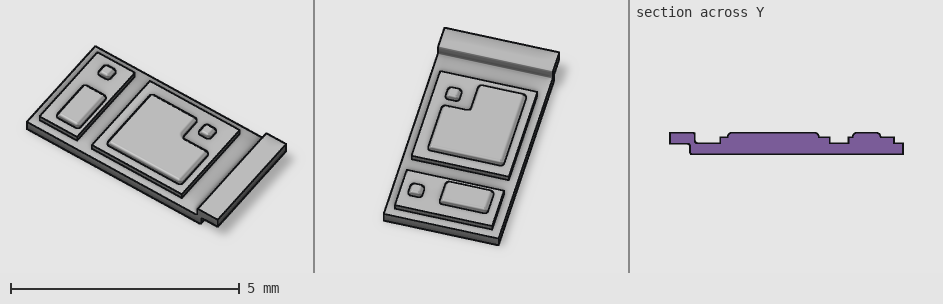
import cadquery as cq

length = 5.1
width = 2.6
sheet_thickness = 0.25
total_height = 0.48
step_rise = total_height - sheet_thickness
step_upper_x = 4.55
step_lower_x = 4.66
bend_radius = 0.05

plate_margin = 0.2
plate_width = width - 2 * plate_margin
plate_thickness = 0.13
plate_top = sheet_thickness + plate_thickness
small_plate_x = (plate_margin, 1.2)
large_plate_x = (1.6, 4.0)

top_radius = 0.1
corner_radius = 0.08
pad_front_y = -0.91
notch_y = 0.185
small_pad_x = (0.49, 1.11)
large_pad_x = (1.84, 3.84)
large_pad_back_y = 0.81
notch_x = 3.1
button_size = 0.32
small_button_center = (0.70, 0.75)
large_button_center = (3.455, 0.65)


def make_carrier():
    """Sheet with a raised strip along its right end and rounded bends."""
    profile = [
        (0, 0),
        (step_lower_x, 0),
        (step_lower_x, step_rise),
        (length, step_rise),
        (length, total_height),
        (step_upper_x, total_height),
        (step_upper_x, sheet_thickness),
        (0, sheet_thickness),
    ]
    carrier = cq.Workplane("XZ").polyline(profile).close().extrude(width / 2, both=True)
    around_riser = cq.selectors.BoxSelector(
        (step_upper_x - bend_radius, -width, -bend_radius),
        (step_lower_x + bend_radius, width, total_height + bend_radius),
    )
    return carrier.edges("|Y").edges(around_riser).fillet(bend_radius)


def make_plate(x_range):
    """Flat plate resting on the sheet, centred across its width."""
    x_min, x_max = x_range
    return (
        cq.Workplane("XY", origin=((x_min + x_max) / 2, 0, sheet_thickness))
        .rect(x_max - x_min, plate_width)
        .extrude(plate_thickness)
    )


def round_corner(pad, corner):
    """Fillet the upright pad edge that stands at the given (x, y) corner."""
    upright_edge = cq.selectors.NearestToPointSelector((*corner, plate_top))
    return pad.edges("|Z").edges(upright_edge).fillet(corner_radius)


def make_pad(outer_corners, inner_corners=()):
    """Pad with a rounded top and corners; its root reaches down to the sheet.

    The outline runs through the inner corners, if any, and then the outer ones.
    """
    pad = (
        cq.Workplane("XY", origin=(0, 0, sheet_thickness))
        .polyline([*inner_corners, *outer_corners])
        .close()
        .extrude(total_height - sheet_thickness)
    )
    for corner in inner_corners:
        pad = round_corner(pad, corner)
    pad = pad.faces(">Z").edges().fillet(top_radius)
    for corner in outer_corners:
        pad = round_corner(pad, corner)
    return pad


def make_rectangular_pad(x_min, x_max, y_min, y_max):
    return make_pad([(x_min, y_min), (x_max, y_min), (x_max, y_max), (x_min, y_max)])


def make_button(center):
    """Small square pad around a centre point."""
    x, y = center
    half = button_size / 2
    return make_rectangular_pad(x - half, x + half, y - half, y + half)


def make_large_pad():
    """L-shaped pad, notched at its back right to clear the button."""
    x_min, x_max = large_pad_x
    outer_corners = [
        (notch_x, large_pad_back_y),
        (x_min, large_pad_back_y),
        (x_min, pad_front_y),
        (x_max, pad_front_y),
        (x_max, notch_y),
    ]
    return make_pad(outer_corners, inner_corners=[(notch_x, notch_y)])


result = (
    make_carrier()
    .union(make_plate(small_plate_x))
    .union(make_plate(large_plate_x))
    .union(make_rectangular_pad(*small_pad_x, pad_front_y, notch_y))
    .union(make_large_pad())
    .union(make_button(small_button_center))
    .union(make_button(large_button_center))
)